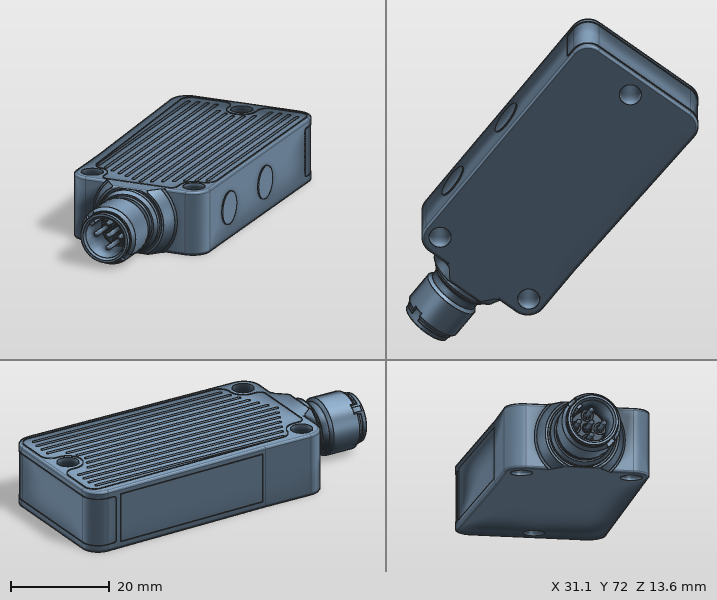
import cadquery as cq
import math


HALF_WIDTH = 14.9
HALF_HEIGHT = 6.805
LENGTH = 56.7
TAPER_START = 14.7
TAPER_WIDENING = 1.2
CORNER_RADIUS = 3.8
EDGE_FILLET = 0.5

HOLE_RADIUS = 2.2
FRONT_HOLE_X = 11.3
FRONT_HOLE_Y = 3.9
REAR_HOLE_Y = 52.5

NECK_LENGTH = 2.9
NECK_BASE_RADIUS = 9.35
NECK_FLARE_RADIUS = 8.9
NECK_FLARE_LENGTH = 0.3
NECK_END_RADIUS = 7.6
SEAT_RADIUS = 7.1
SEAT_DEPTH = 0.15
SEAT_LEVEL = NECK_LENGTH - SEAT_DEPTH
NECK_ROOT = 1.45

PANEL_DEPTH = 0.15
PANEL_FRONT_Y = 1.2
PANEL_REAR_Y = 55.65
PANEL_RIGHT_X = 13.9
PANEL_LEFT_MARGIN = 2.1
PANEL_BOSS_RADIUS = 3.1
PANEL_CORNER_RADIUS = 2.3
PANEL_FRONT_RADIUS = 1.4

GROOVE_WIDTH = 0.7
GROOVE_DEPTH = 0.1
GROOVE_PITCH = 2.0
GROOVE_FRONT_Y = 2.45
GROOVE_FRONT_STEP = 1.0
GROOVE_REAR_YS = [48.45, 49.3, 50.4, 53.85, 53.85, 53.85, 53.4]

WINDOW_LENGTH = 5.9
WINDOW_HALF_HEIGHT = 5.2
WINDOW_CORNER_RADIUS = 0.7
WINDOW_DEPTH = 0.15

DISC_RADIUS = 3.45
DISC_HEIGHT = 0.25
DISC_YS = [12.95, 30.7]

LABEL_FRONT_Y = 15.3
LABEL_REAR_Y = 49.7
LABEL_HALF_HEIGHT = 5.3
LABEL_THICKNESS = 0.2

FLANGE_RADIUS = 6.7
FLANGE_END_RADIUS = 6.05
FLANGE_CHAMFER_START = 3.7
FLANGE_END = 4.4
UNDERCUT_RADIUS = 5.4
UNDERCUT_LEAD_RADIUS = 5.7
UNDERCUT_START = 4.8
UNDERCUT_END = 6.4
THREAD_RADIUS = 6.05
THREAD_START = 7.05
THREAD_END = 13.2
THREAD_CHAMFER_END = 13.9
SLEEVE_END = 14.4
KEYWAY_WIDTH = 2.15
KEYWAY_START = 12.5
KEYWAY_ANGLE = 45

INSERT_RADIUS = 5.2
INSERT_END = 15.3
MOUTH_RADIUS = 4.7
BORE_RADIUS = 4.25
BORE_FLOOR_RADIUS = 3.8
MOUTH_CHAMFER = 0.4
BORE_FLOOR = 8.3
ISLAND_RADIUS = 3.5
ISLAND_HEIGHT = 0.3
PIN_CLEARANCE_RADIUS = 1.2
CENTRE_CLEARANCE_RADIUS = 1.0
PIN_CIRCLE_RADIUS = 2.6
PIN_RADIUS = 0.5
PIN_END = 13.7
PIN_TIP_FILLET = 0.35
COLLAR_RADIUS = 0.8
KEY_WIDTH = 1.15
KEY_INNER_RADIUS = 3.6


def cylinder_along_y(radius, start, end, x=0, z=0):
    """Cylinder parallel to the connector axis, between two distances forward of Y = 0."""
    plane = cq.Plane(origin=(x, -start, z), xDir=(1, 0, 0), normal=(0, -1, 0))
    return cq.Workplane(plane).circle(radius).extrude(end - start)


def revolve_about_y(profile):
    """Turned solid from (radius, distance forward) points."""
    points = [(radius, -forward) for radius, forward in profile]
    return cq.Workplane("XY").polyline(points).close().revolve(360, (0, 0, 0), (0, 1, 0))


def block(x_min, x_max, y_min, y_max, z_min, z_max):
    size = (x_max - x_min, y_max - y_min, z_max - z_min)
    return cq.Workplane("XY").box(*size, centered=False).translate((x_min, y_min, z_min))


def round_corners(solid, corners, radius):
    """Fillet the vertical edges closest to the given (x, y) corners."""
    for x, y in corners:
        solid = solid.edges("|Z").edges(cq.NearestToPointSelector((x, y, 0))).fillet(radius)
    return solid


def left_wall_x(y):
    """X of the leaning left wall (and of its straight extension) at a given Y."""
    return -HALF_WIDTH - TAPER_WIDENING * (y - TAPER_START) / (LENGTH - TAPER_START)



def housing_block(inset=0):
    """Housing outline, optionally moved inward, as a full-height prism with rounded corners."""
    left, right = -HALF_WIDTH + inset, HALF_WIDTH - inset
    front, rear = inset, LENGTH - inset
    rear_left = left_wall_x(LENGTH) + inset
    outline = [(left, front), (right, front), (right, rear), (rear_left, rear), (left, TAPER_START)]
    prism = cq.Workplane("XY").polyline(outline).close().extrude(HALF_HEIGHT, both=True)
    return round_corners(prism, outline[:4], CORNER_RADIUS - inset)


def wall_skin(depth):
    """Outer layer of the housing walls with the given thickness."""
    return housing_block().cut(housing_block(depth))


def neck():
    cone = revolve_about_y([
        (0, -NECK_ROOT), (NECK_BASE_RADIUS, -NECK_ROOT), (NECK_BASE_RADIUS, 0),
        (NECK_FLARE_RADIUS, NECK_FLARE_LENGTH), (NECK_END_RADIUS, NECK_LENGTH),
        (SEAT_RADIUS, NECK_LENGTH), (SEAT_RADIUS, SEAT_LEVEL), (0, SEAT_LEVEL),
    ])
    limits = block(-HALF_WIDTH, HALF_WIDTH, -NECK_LENGTH, NECK_ROOT, -HALF_HEIGHT, HALF_HEIGHT)
    return cone.intersect(limits.edges("<Y and |X").fillet(EDGE_FILLET))


def panel_recess():
    floor_z = HALF_HEIGHT - PANEL_DEPTH
    left_front = left_wall_x(PANEL_FRONT_Y) + PANEL_LEFT_MARGIN
    left_rear = left_wall_x(PANEL_REAR_Y) + PANEL_LEFT_MARGIN
    panel = (
        cq.Workplane("XY").workplane(offset=floor_z)
        .polyline([
            (left_front, PANEL_FRONT_Y), (PANEL_RIGHT_X, PANEL_FRONT_Y),
            (PANEL_RIGHT_X, PANEL_REAR_Y), (left_rear, PANEL_REAR_Y),
        ])
        .close().extrude(PANEL_DEPTH)
    )
    panel = round_corners(
        panel, [(PANEL_RIGHT_X, PANEL_REAR_Y), (left_rear, PANEL_REAR_Y)], PANEL_CORNER_RADIUS
    )

    boss_top = FRONT_HOLE_Y + PANEL_BOSS_RADIUS
    boss_side = FRONT_HOLE_X - PANEL_BOSS_RADIUS
    for side in (-1, 1):
        near, far = sorted((side * boss_side, side * 2 * FRONT_HOLE_X))
        boss = block(near, far, -boss_top, boss_top, floor_z, HALF_HEIGHT)
        panel = panel.cut(round_corners(boss, [(side * boss_side, boss_top)], PANEL_BOSS_RADIUS))
    wall_corners = [(left_wall_x(boss_top) + PANEL_LEFT_MARGIN, boss_top), (PANEL_RIGHT_X, boss_top)]
    panel = round_corners(panel, wall_corners, PANEL_CORNER_RADIUS)
    front_corners = [(-boss_side, PANEL_FRONT_Y), (boss_side, PANEL_FRONT_Y)]
    panel = round_corners(panel, front_corners, PANEL_FRONT_RADIUS)

    boss = (
        cq.Workplane("XY").workplane(offset=floor_z)
        .center(0, REAR_HOLE_Y).circle(PANEL_BOSS_RADIUS).extrude(PANEL_DEPTH)
        .union(block(-PANEL_BOSS_RADIUS, PANEL_BOSS_RADIUS, REAR_HOLE_Y, LENGTH, floor_z, HALF_HEIGHT))
    )
    rear_corners = [(-PANEL_BOSS_RADIUS, PANEL_REAR_Y), (PANEL_BOSS_RADIUS, PANEL_REAR_Y)]
    return round_corners(panel.cut(boss), rear_corners, PANEL_CORNER_RADIUS)


def groove(x, front_y, rear_y):
    """Cutter for a shallow groove with an arc-shaped bottom and rounded ends."""
    floor_z = HALF_HEIGHT - PANEL_DEPTH
    length = rear_y - front_y
    middle_y = (front_y + rear_y) / 2
    outline = (
        cq.Workplane("XY").workplane(offset=floor_z - GROOVE_DEPTH).center(x, middle_y)
        .slot2D(length, GROOVE_WIDTH, 90).extrude(GROOVE_DEPTH)
    )
    arc_radius = (GROOVE_WIDTH ** 2 / 4 + GROOVE_DEPTH ** 2) / (2 * GROOVE_DEPTH)
    arc_centre_z = floor_z - GROOVE_DEPTH + arc_radius
    bottom = cq.Workplane("XZ").center(x, arc_centre_z).circle(arc_radius).extrude(-LENGTH)
    return outline.intersect(bottom)


def window_recess():
    """Shallow recess around the rear end, reaching the same distance along both side walls."""
    reach = 2 * HALF_WIDTH
    window = block(-reach, reach, LENGTH - WINDOW_LENGTH, LENGTH,
                   -WINDOW_HALF_HEIGHT, WINDOW_HALF_HEIGHT)
    window = window.edges("|X and <Y").fillet(WINDOW_CORNER_RADIUS)
    return wall_skin(WINDOW_DEPTH).intersect(window)


def make_label():
    """Flat plate flush with the leaning left wall."""
    area = block(-2 * HALF_WIDTH, 0, LABEL_FRONT_Y, LABEL_REAR_Y, -LABEL_HALF_HEIGHT, LABEL_HALF_HEIGHT)
    return wall_skin(LABEL_THICKNESS).intersect(area)


def make_housing(label):
    body = housing_block().faces("|Z").edges().fillet(EDGE_FILLET).union(neck())
    hole_centres = [(-FRONT_HOLE_X, FRONT_HOLE_Y), (FRONT_HOLE_X, FRONT_HOLE_Y), (0, REAR_HOLE_Y)]
    holes = cq.Workplane("XY").pushPoints(hole_centres).circle(HOLE_RADIUS).extrude(HALF_HEIGHT, both=True)
    body = body.cut(holes).cut(panel_recess()).cut(window_recess()).cut(label)

    for step, rear_y in enumerate(GROOVE_REAR_YS):
        front_y = GROOVE_FRONT_Y + step * GROOVE_FRONT_STEP
        for x in {-step * GROOVE_PITCH, step * GROOVE_PITCH}:
            body = body.cut(groove(x, front_y, rear_y))

    discs = (
        cq.Workplane("YZ").workplane(offset=HALF_WIDTH)
        .pushPoints([(y, 0) for y in DISC_YS]).circle(DISC_RADIUS).extrude(DISC_HEIGHT)
    )
    return body.union(discs)



def make_sleeve():
    """Threaded metal sleeve with a flange, an undercut and two opposite keyways at its end."""
    sleeve = revolve_about_y([
        (INSERT_RADIUS, SEAT_LEVEL),
        (FLANGE_RADIUS, SEAT_LEVEL),
        (FLANGE_RADIUS, FLANGE_CHAMFER_START),
        (FLANGE_END_RADIUS, FLANGE_END),
        (UNDERCUT_LEAD_RADIUS, FLANGE_END),
        (UNDERCUT_RADIUS, UNDERCUT_START),
        (UNDERCUT_RADIUS, UNDERCUT_END),
        (THREAD_RADIUS, THREAD_START),
        (THREAD_RADIUS, THREAD_END),
        (UNDERCUT_RADIUS, THREAD_CHAMFER_END),
        (UNDERCUT_RADIUS, SLEEVE_END),
        (INSERT_RADIUS, SLEEVE_END),
    ])
    keyways = block(-2 * THREAD_RADIUS, 2 * THREAD_RADIUS, -INSERT_END, -KEYWAY_START,
                    -KEYWAY_WIDTH / 2, KEYWAY_WIDTH / 2)
    return sleeve.cut(keyways.rotate((0, 0, 0), (0, 1, 0), KEYWAY_ANGLE))


def contact_positions():
    """(x, z) of the outer contacts."""
    angles = [math.radians(90 * step) for step in range(4)]
    return [(PIN_CIRCLE_RADIUS * math.cos(a), PIN_CIRCLE_RADIUS * math.sin(a)) for a in angles]


def contact(x, z):
    """Pin with a rounded tip, standing on a collar at the floor of the bore."""
    pin = cylinder_along_y(PIN_RADIUS, BORE_FLOOR, PIN_END, x, z).faces("<Y").fillet(PIN_TIP_FILLET)
    return pin.union(cylinder_along_y(COLLAR_RADIUS, BORE_FLOOR, BORE_FLOOR + ISLAND_HEIGHT, x, z))


def make_insert():
    """Contact carrier: cup with a drafted bore, a coding key, a raised island and five pins."""
    cup = revolve_about_y([
        (0, SEAT_LEVEL), (INSERT_RADIUS, SEAT_LEVEL), (INSERT_RADIUS, INSERT_END),
        (MOUTH_RADIUS, INSERT_END), (BORE_RADIUS, INSERT_END - MOUTH_CHAMFER),
        (BORE_FLOOR_RADIUS, BORE_FLOOR), (0, BORE_FLOOR),
    ])
    key = block(-INSERT_RADIUS, -KEY_INNER_RADIUS, MOUTH_CHAMFER - INSERT_END, -BORE_FLOOR,
                -KEY_WIDTH / 2, KEY_WIDTH / 2)
    key = key.rotate((0, 0, 0), (0, 1, 0), KEYWAY_ANGLE)
    island_top = BORE_FLOOR + ISLAND_HEIGHT
    island = cylinder_along_y(ISLAND_RADIUS, BORE_FLOOR, island_top)
    island = island.cut(cylinder_along_y(CENTRE_CLEARANCE_RADIUS, BORE_FLOOR, island_top))
    for x, z in contact_positions():
        island = island.cut(cylinder_along_y(PIN_CLEARANCE_RADIUS, BORE_FLOOR, island_top, x, z))

    insert = cup.union(key).union(island)
    for x, z in [(0, 0)] + contact_positions():
        insert = insert.union(contact(x, z))
    return insert


label = make_label()
housing = make_housing(label)
sleeve = make_sleeve()
insert = make_insert()

result = cq.Compound.makeCompound([housing.val(), label.val(), sleeve.val(), insert.val()])